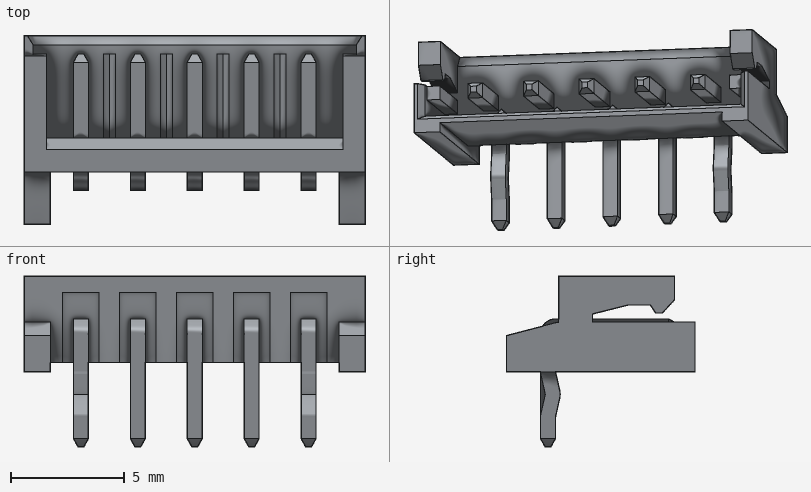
import cadquery as cq
import math


LENGTH = 15.0
HEIGHT = 4.2
DEPTH = 6.0
FOOT_REACH = 2.3
FOOT_WIDTH = 1.15
FOOT_TIP_HEIGHT = 1.59
SIDE_THICKNESS = 0.99
SIDE_HEIGHT = 2.19
FLOOR_BOTTOM = 0.4
FLOOR_TOP = 0.8
WALL_TOP_THICKNESS = 1.0
WALL_THICKNESS = 1.5
WALL_BEVEL_HEIGHT = 0.5

ARM_END = 5.1
ARM_NOSE_TOP = 3.16
HOOK_BOTTOM = 2.58
HOOK_TIP_OUTER = 4.56
HOOK_TIP_INNER = 4.26
HOOK_ROOT = 4.04
ARM_BOTTOM = 2.92
ARM_TAPER_START = 3.05
ARM_ROOT_BOTTOM = 2.54

STOP_Y = 5.19
OPENING_SIDE = 0.4
LEAD_IN_DEPTH = 0.4
LEAD_IN_SIDE_FLARE = 0.25
LEAD_IN_FLOOR_DROP = 0.2
GUIDE_TOP = 1.59

PIN_COUNT = 5
PIN_PITCH = LENGTH / 6
PIN_SIZE = 0.66
PIN_TOP = 2.32
PIN_BOTTOM = -3.3
PIN_FRONT = -0.8
TIP_LENGTH = 0.36
TIP_SIZE = 0.25
KINK_MIDDLE = -0.99
KINK_LENGTH = 2.04
KINK_ANGLE = 12.5

RIB_WIDTH = 0.52
RIB_HEIGHT = 0.25
PANEL_WIDTH = 1.6
PANEL_TOP = 3.48
PANEL_DEPTH = 0.1

INNER_WIDTH = LENGTH - 2 * SIDE_THICKNESS
PIN_XS = [(i - (PIN_COUNT - 1) / 2) * PIN_PITCH for i in range(PIN_COUNT)]


def box(x, y, z):
    """Box from its (low, high) limits on each axis."""
    size = (x[1] - x[0], y[1] - y[0], z[1] - z[0])
    return cq.Workplane("XY").box(*size, centered=False).translate((x[0], y[0], z[0]))


def extrude_yz(outline, x_start, width):
    """Extrude a closed YZ outline along +X."""
    return outline.close().extrude(width).translate((x_start, 0, 0))


def make_side():
    """Right-hand side wall with its latch arm, runner and foot."""
    wall = extrude_yz(
        cq.Workplane("YZ").polyline([
            (0, 0),
            (DEPTH, 0),
            (DEPTH, SIDE_HEIGHT),
            (WALL_THICKNESS, SIDE_HEIGHT),
            (WALL_THICKNESS, ARM_ROOT_BOTTOM),
            (ARM_TAPER_START, ARM_BOTTOM),
            (HOOK_ROOT, ARM_BOTTOM),
            (HOOK_TIP_INNER, HOOK_BOTTOM),
            (HOOK_TIP_OUTER, HOOK_BOTTOM),
            (ARM_END, ARM_NOSE_TOP),
            (ARM_END, HEIGHT),
            (0, HEIGHT),
        ]),
        LENGTH / 2 - SIDE_THICKNESS,
        SIDE_THICKNESS,
    )
    foot = extrude_yz(
        cq.Workplane("YZ").polyline([
            (-FOOT_REACH, 0),
            (DEPTH, 0),
            (DEPTH, FLOOR_TOP),
            (0, FLOOR_TOP),
            (0, SIDE_HEIGHT),
            (-FOOT_REACH, FOOT_TIP_HEIGHT),
        ]),
        LENGTH / 2 - FOOT_WIDTH,
        FOOT_WIDTH,
    )
    return wall.union(foot)


def make_base():
    """Front wall, beveled along its inner top edge, and the floor behind it."""
    outline = cq.Workplane("YZ").polyline([
        (0, FLOOR_BOTTOM),
        (DEPTH, FLOOR_BOTTOM),
        (DEPTH, FLOOR_TOP),
        (WALL_THICKNESS, FLOOR_TOP),
        (WALL_THICKNESS, HEIGHT - WALL_BEVEL_HEIGHT),
        (WALL_TOP_THICKNESS, HEIGHT),
        (0, HEIGHT),
    ])
    return extrude_yz(outline, -INNER_WIDTH / 2, INNER_WIDTH)


def make_opening():
    """Space cut for the mating part: side guides, a widened end and a flared lead-in."""
    half = LENGTH / 2 - OPENING_SIDE
    guides = box((-half, half), (WALL_THICKNESS, DEPTH), (FLOOR_TOP, GUIDE_TOP))
    widened_end = box((-half, half), (STOP_Y, DEPTH), (FLOOR_TOP, SIDE_HEIGHT))
    flared_half = half + LEAD_IN_SIDE_FLARE
    flared_bottom = FLOOR_TOP - LEAD_IN_FLOOR_DROP

    def section(half_width, bottom, y):
        corners = [
            (-half_width, bottom),
            (half_width, bottom),
            (half_width, SIDE_HEIGHT),
            (-half_width, SIDE_HEIGHT),
        ]
        return cq.Wire.makePolygon([cq.Vector(x, y, z) for x, z in corners], close=True)

    flare = cq.Solid.makeLoft([
        section(half, FLOOR_TOP, DEPTH - LEAD_IN_DEPTH),
        section(flared_half, flared_bottom, DEPTH),
    ], True)
    return guides.union(widened_end).union(cq.Workplane(flare))


def make_rib(x):
    """Triangular rib along the floor."""
    return (
        cq.Workplane("XZ", origin=(x, WALL_THICKNESS, FLOOR_TOP))
        .polyline([(-RIB_WIDTH / 2, 0), (RIB_WIDTH / 2, 0), (0, RIB_HEIGHT)])
        .close()
        .extrude(-(STOP_Y - WALL_THICKNESS))
    )


def make_panel(x):
    """Shallow recess cut in the front wall behind one pin."""
    return box((x - PANEL_WIDTH / 2, x + PANEL_WIDTH / 2), (0, PANEL_DEPTH), (FLOOR_BOTTOM, PANEL_TOP))


def make_tip(base, direction):
    """Square point that narrows along a direction from the middle of its base."""
    plane = cq.Plane(base, xDir=(1, 0, 0), normal=direction)
    taper = math.degrees(math.atan((PIN_SIZE - TIP_SIZE) / 2 / TIP_LENGTH))
    return cq.Workplane(plane).rect(PIN_SIZE, PIN_SIZE).extrude(TIP_LENGTH, taper=taper)


def around(center, degrees):
    """YZ point one pin size away from a bend center; 0 degrees is +Y."""
    angle = math.radians(degrees)
    return (center[0] + PIN_SIZE * math.cos(angle), center[1] + PIN_SIZE * math.sin(angle))


def make_pin(x, kinked):
    """Right-angle pin with pointed ends; a kinked one bows toward +Y below the housing."""
    back = PIN_FRONT + PIN_SIZE
    under = PIN_TOP - PIN_SIZE
    shank_end = PIN_BOTTOM + TIP_LENGTH
    blade_end = STOP_Y - TIP_LENGTH

    angle = math.radians(KINK_ANGLE)
    half_length = KINK_LENGTH / 2
    upper = (back, KINK_MIDDLE + half_length)
    lower = (back, KINK_MIDDLE - half_length)
    slant = (half_length - PIN_SIZE * math.sin(angle)) / math.cos(angle)
    middle = (back - PIN_SIZE * math.cos(angle) + slant * math.sin(angle), KINK_MIDDLE)

    outline = cq.Workplane("YZ").moveTo(blade_end, PIN_TOP).lineTo(back, PIN_TOP)
    outline = outline.threePointArc(around((back, under), 135), (PIN_FRONT, under))
    if kinked:
        outline = (
            outline.lineTo(*around(upper, 180))
            .threePointArc(around(upper, 180 + KINK_ANGLE / 2), around(upper, 180 + KINK_ANGLE))
            .lineTo(*middle)
            .lineTo(*around(lower, 180 - KINK_ANGLE))
            .threePointArc(around(lower, 180 - KINK_ANGLE / 2), around(lower, 180))
        )

    outline = outline.lineTo(PIN_FRONT, shank_end).lineTo(back, shank_end)
    if kinked:
        outline = (
            outline.lineTo(*lower)
            .lineTo(*around(middle, -KINK_ANGLE))
            .threePointArc(around(middle, 0), around(middle, KINK_ANGLE))
            .lineTo(*upper)
        )
    outline = outline.lineTo(back, under).lineTo(blade_end, under)

    pin = extrude_yz(outline, x - PIN_SIZE / 2, PIN_SIZE)
    blade_tip = make_tip((x, blade_end, PIN_TOP - PIN_SIZE / 2), (0, 1, 0))
    shank_tip = make_tip((x, PIN_FRONT + PIN_SIZE / 2, shank_end), (0, 0, -1))
    return pin.union(blade_tip).union(shank_tip)


side = make_side()
result = make_base().union(side).union(side.mirror("YZ")).cut(make_opening())
for pin_x in PIN_XS:
    result = result.cut(make_panel(pin_x))
for pin_x in PIN_XS[:-1]:
    result = result.union(make_rib(pin_x + PIN_PITCH / 2))
for pin_x in PIN_XS:
    result = result.union(make_pin(pin_x, pin_x in (PIN_XS[0], PIN_XS[-1])))